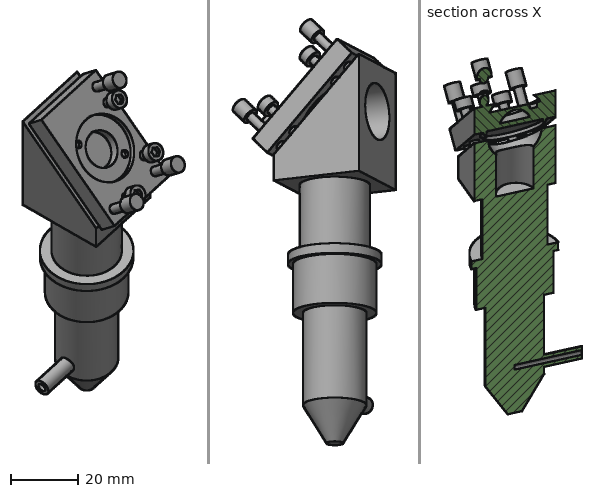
import cadquery as cq
import math

overall_height = 128.2

tip_dia = 5.0
barrel_dia = 19.0
collar_dia = 25.0
flange_dia = 28.0
neck_dia = 21.0
cone_top_z = 11.7
collar_bottom_z = 40.0
flange_bottom_z = 55.0
flange_top_z = 57.9
block_bottom_z = 79.2

pipe_dia = 5.0
pipe_bore_dia = 2.5
pipe_end_y = -21.5
pipe_z = 16.4

block_length = 28.0
block_width = 26.1
slope_height_on_axis = 101.1
beam_z = 100.4
beam_bore_dia = 17.0
column_bore_dia = 12.0

plate_gap = 2.0
plate_length = 39.2
plate_width = 26.1
plate_thickness = 6.8
seat_base_dia = 20.8
seat_height = 1.2
seat_taper = 0.9
mirror_dia = 18.2
mirror_depth = 1.3
recess_dia = 20.8
recess_depth = 1.9
pocket_dia = 11.4
pocket_depth = 3.3
pin_hole_dia = 2.3
pin_hole_depth = 1.3
pin_circle_radius = 8.3

screw_dia = 3.0
long_head_dia = 5.0
long_head_height = 5.3
short_shank = 3.3
short_head_dia = 5.4
short_head_height = 3.1
socket_across_corners = 3.1
socket_depth = 1.5
row_offset = 15.6
side_offset = 9.9
screw_spacing = 5.9

long_screw_length = (overall_height - beam_z) * math.sqrt(2) - row_offset - long_head_dia / 2
long_shank = long_screw_length - plate_gap - plate_thickness - long_head_height


def make_column():
    """Revolved nozzle, from the tip up to the underside of the block."""
    return (
        cq.Workplane("XZ")
        .moveTo(0, 0)
        .lineTo(tip_dia / 2, 0)
        .lineTo(barrel_dia / 2, cone_top_z)
        .lineTo(barrel_dia / 2, collar_bottom_z)
        .lineTo(collar_dia / 2, collar_bottom_z)
        .lineTo(collar_dia / 2, flange_bottom_z)
        .lineTo(flange_dia / 2, flange_bottom_z)
        .lineTo(flange_dia / 2, flange_top_z)
        .lineTo(neck_dia / 2, flange_top_z)
        .lineTo(neck_dia / 2, block_bottom_z)
        .lineTo(0, block_bottom_z)
        .close()
        .revolve(360, (0, 0, 0), (0, 1, 0))
    )


def make_block():
    """Four-sided prism with a 45 degree face that falls towards +X."""
    half = block_length / 2
    return (
        cq.Workplane("XZ")
        .moveTo(-half, block_bottom_z)
        .lineTo(half, block_bottom_z)
        .lineTo(half, slope_height_on_axis - half)
        .lineTo(-half, slope_height_on_axis + half)
        .close()
        .extrude(block_width / 2, both=True)
    )


def pipe_cylinder(diameter):
    """Cylinder from the pipe end to the column axis."""
    return (
        cq.Workplane("XZ", origin=(0, pipe_end_y, pipe_z))
        .circle(diameter / 2)
        .extrude(-abs(pipe_end_y))
    )


def make_housing():
    """Column, block and inlet pipe as one body, with the beam bores."""
    beam_bore = (
        cq.Workplane("YZ", origin=(-block_length / 2, 0, beam_z))
        .circle(beam_bore_dia / 2)
        .extrude(block_length)
    )
    column_bore = (
        cq.Workplane("XY", origin=(0, 0, block_bottom_z))
        .circle(column_bore_dia / 2)
        .extrude(beam_z - block_bottom_z)
    )
    return (
        make_column()
        .union(make_block())
        .union(pipe_cylinder(pipe_dia))
        .cut(pipe_cylinder(pipe_bore_dia))
        .cut(beam_bore)
        .cut(column_bore)
    )


def mount_plane(height):
    """Plane parallel to the sloped face, at a height above it.

    Local X runs down the slope, local Y is Y, and the centre is where the beam axis meets the face.
    """
    slope_centre = (slope_height_on_axis - beam_z, 0, beam_z)
    plane = cq.Plane(origin=slope_centre, xDir=(1, 0, -1), normal=(1, 0, 1))
    return cq.Workplane(plane).workplane(offset=height)


def make_screw(position, shank, head_dia, head_height):
    """Screw that stands on the sloped face and passes through the plate."""
    head_base = plate_gap + plate_thickness + shank
    body = mount_plane(0).center(*position).circle(screw_dia / 2).extrude(head_base)
    head = mount_plane(head_base).center(*position).circle(head_dia / 2).extrude(head_height)
    return body.union(head)


def make_long_screw(position):
    return make_screw(position, long_shank, long_head_dia, long_head_height)


def make_short_screw(position):
    """Socket head screw with a hexagonal socket."""
    screw = make_screw(position, short_shank, short_head_dia, short_head_height)
    head_top = plate_gap + plate_thickness + short_shank + short_head_height
    socket = (
        mount_plane(head_top)
        .center(*position)
        .polygon(6, socket_across_corners)
        .extrude(-socket_depth)
    )
    return screw.cut(socket)


def make_mirror_seat():
    """Disc below the plate that narrows towards the sloped face."""
    taper_angle = math.degrees(math.atan2(seat_taper, seat_height))
    return mount_plane(plate_gap).circle(seat_base_dia / 2).extrude(-seat_height, taper=taper_angle)


def make_plate():
    """Plate with the recessed mirror seat below, and a stepped recess with two pin holes above."""
    top = plate_gap + plate_thickness
    recess_floor = top - recess_depth
    pin_offset = pin_circle_radius * math.sqrt(0.5)
    pin_points = [(pin_offset, pin_offset), (-pin_offset, -pin_offset)]

    plate = mount_plane(plate_gap).rect(plate_length, plate_width).extrude(plate_thickness)
    mirror_recess = mount_plane(plate_gap - seat_height).circle(mirror_dia / 2).extrude(mirror_depth)
    recess = mount_plane(top).circle(recess_dia / 2).extrude(-recess_depth)
    pocket = mount_plane(recess_floor).circle(pocket_dia / 2).extrude(-pocket_depth)
    pin_holes = (
        mount_plane(recess_floor)
        .pushPoints(pin_points)
        .circle(pin_hole_dia / 2)
        .extrude(-pin_hole_depth)
    )
    return plate.union(make_mirror_seat()).cut(mirror_recess).cut(recess).cut(pocket).cut(pin_holes)


def make_mirror_mount():
    """Plate and its six screws as one body."""
    long_points = [
        (-row_offset, side_offset),
        (row_offset, side_offset),
        (row_offset, -side_offset),
    ]
    short_points = [
        (-row_offset + screw_spacing, side_offset),
        (row_offset - screw_spacing, side_offset),
        (row_offset, -side_offset + screw_spacing),
    ]
    mount = make_plate()
    for point in long_points:
        mount = mount.union(make_long_screw(point))
    for point in short_points:
        mount = mount.union(make_short_screw(point))
    return mount


housing = make_housing()
mirror_mount = make_mirror_mount()
result = cq.Compound.makeCompound([housing.val(), mirror_mount.val()])